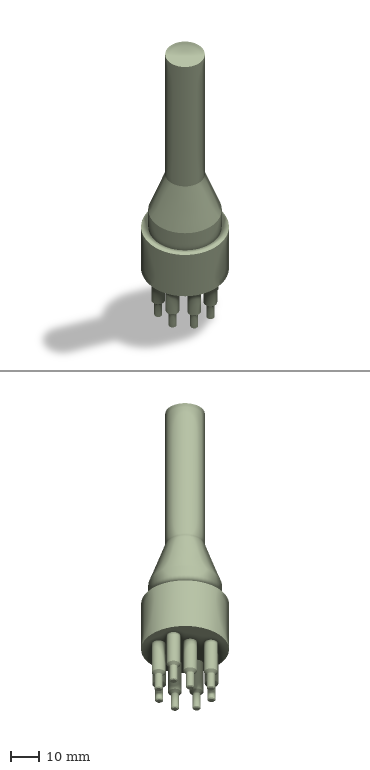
import cadquery as cq
import math

total_height = 117.5
cone_top_z = 62.5
collar_top_z = 46.0
shell_top_z = 38.1
shell_bottom_z = 19.0
pin_shoulder_z = 7.0

cable_diameter = 14.0
collar_diameter = 26.0
shell_diameter = 31.0

pin_diameter = 4.8
tip_diameter = 2.8
tip_chamfer = 0.4
pin_circle_radius = 10.0
pin_spacing_angle = 45.0
ring_pin_count = 7
inner_pin_y = 5.0


def make_body():
    """Shell, collar, strain-relief cone and cable as one revolved profile."""
    shell_radius = shell_diameter / 2
    collar_radius = collar_diameter / 2
    cable_radius = cable_diameter / 2
    profile = [
        (0, shell_bottom_z),
        (shell_radius, shell_bottom_z),
        (shell_radius, shell_top_z),
        (collar_radius, shell_top_z),
        (collar_radius, collar_top_z),
        (cable_radius, cone_top_z),
        (cable_radius, total_height),
        (0, total_height),
    ]
    return cq.Workplane("XZ").polyline(profile).close().revolve(360, (0, 0), (0, 1))


def make_pin():
    """Pin with a 45 degree shoulder down to a thinner, chamfered tip."""
    pin_radius = pin_diameter / 2
    tip_radius = tip_diameter / 2
    tip_top_z = pin_shoulder_z - (pin_radius - tip_radius)
    profile = [
        (0, 0),
        (tip_radius - tip_chamfer, 0),
        (tip_radius, tip_chamfer),
        (tip_radius, tip_top_z),
        (pin_radius, pin_shoulder_z),
        (pin_radius, shell_bottom_z),
        (0, shell_bottom_z),
    ]
    return cq.Workplane("XZ").polyline(profile).close().revolve(360, (0, 0), (0, 1))


def pin_positions():
    """Ring of pins centred on -Y, open towards +Y, and one pin inside the opening."""
    positions = [(0, inner_pin_y)]
    for index in range(ring_pin_count):
        offset_angle = (index - (ring_pin_count - 1) / 2) * pin_spacing_angle
        angle = math.radians(offset_angle)
        positions.append((pin_circle_radius * math.sin(angle), -pin_circle_radius * math.cos(angle)))
    return positions


result = make_body()
pin = make_pin()
for x, y in pin_positions():
    result = result.union(pin.translate((x, y, 0)))